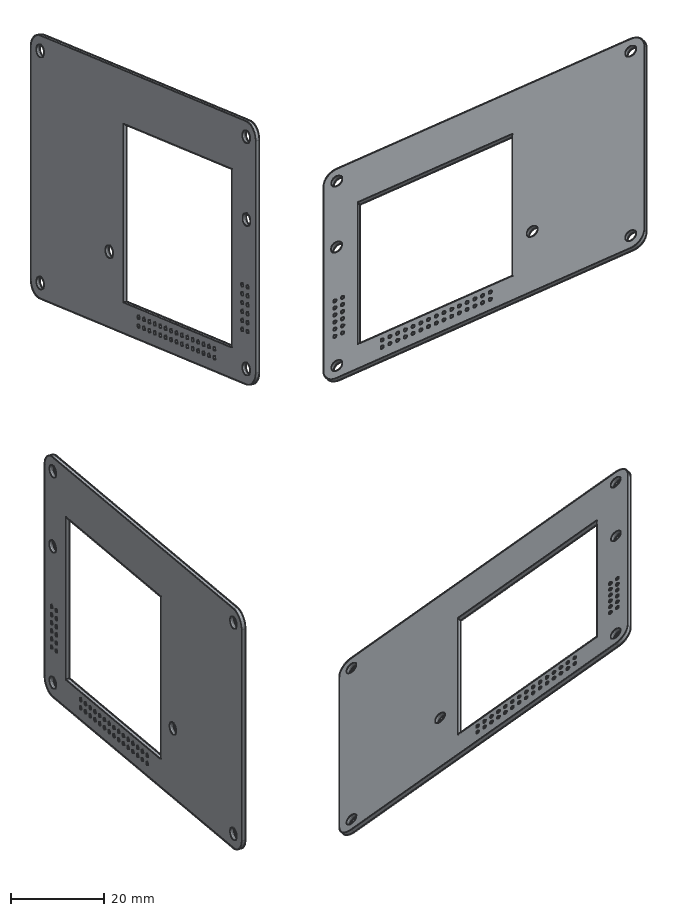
import cadquery as cq

LENGTH = 83.0
HEIGHT = 59.0
THICKNESS = 1.0
CORNER_RADIUS = 3.5

WINDOW_SIDE = 40.0
WINDOW_CENTER = (12.6, -2.6)

MOUNT_DIAMETER = 2.8
CORNER_HOLE_X = LENGTH / 2 - CORNER_RADIUS
CORNER_HOLE_Z = HEIGHT / 2 - CORNER_RADIUS
RIGHT_HOLE = (38.1, 7.5)
LEFT_HOLE = (-12.5, -12.5)

PIN_DIAMETER = 0.8
WIDE_FIELD_COLUMNS = 15
WIDE_FIELD_LENGTH = 28.0
WIDE_FIELD_CENTER = (12.3, -25.5)
TALL_FIELD_ROWS = 6
TALL_FIELD_CENTER = (37.5, LEFT_HOLE[1])
FIELD_LINES = 2
PIN_PITCH = WIDE_FIELD_LENGTH / (WIDE_FIELD_COLUMNS - 1)


def plate_face():
    """Sketching plane through the middle of the plate, with X right and Z up."""
    return cq.Workplane("XZ")


def through_cut(outlines):
    """Turn closed outlines into a cutter that passes through the plate."""
    return outlines.extrude(THICKNESS, both=True)


def pin_field(center, columns, rows):
    """Cutter for a rectangular grid of pin holes."""
    grid = plate_face().center(*center).rarray(PIN_PITCH, PIN_PITCH, columns, rows)
    return through_cut(grid.circle(PIN_DIAMETER / 2))


plate = plate_face().rect(LENGTH, HEIGHT).extrude(THICKNESS / 2, both=True)
plate = plate.edges("|Y").fillet(CORNER_RADIUS)

window = through_cut(plate_face().center(*WINDOW_CENTER).rect(WINDOW_SIDE, WINDOW_SIDE))

mount_points = [(sx * CORNER_HOLE_X, sz * CORNER_HOLE_Z) for sx in (-1, 1) for sz in (-1, 1)]
mount_points += [RIGHT_HOLE, LEFT_HOLE]
mount_holes = through_cut(plate_face().pushPoints(mount_points).circle(MOUNT_DIAMETER / 2))

wide_field = pin_field(WIDE_FIELD_CENTER, WIDE_FIELD_COLUMNS, FIELD_LINES)
tall_field = pin_field(TALL_FIELD_CENTER, FIELD_LINES, TALL_FIELD_ROWS)

result = plate.cut(window).cut(mount_holes).cut(wide_field).cut(tall_field)